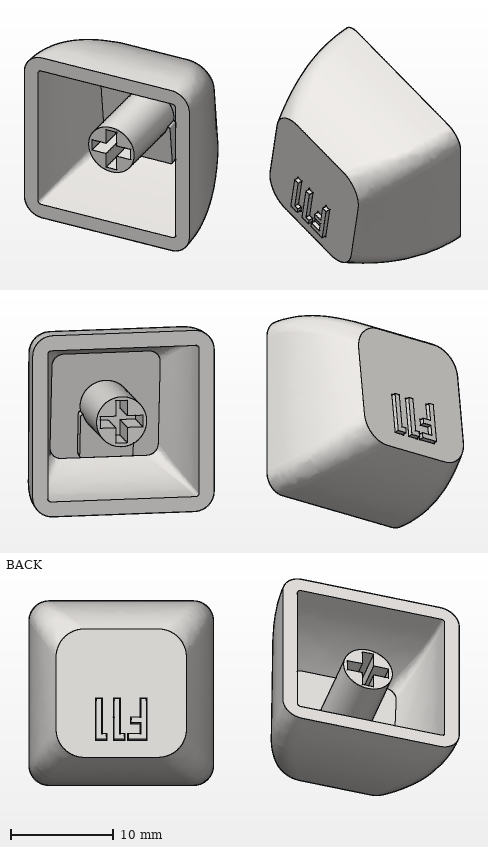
import cadquery as cq
import math


RIM_SIDE = 18.1
RIM_RADIUS = 2.0
ROOF_WIDTH = 12.76
ROOF_LENGTH = 12.67
ROOF_RADIUS = 2.75
ROOF_HEIGHT = 11.15
ROOF_TILT = 7.0
WALL = 1.5

CAVITY_SIDE = RIM_SIDE - 2 * WALL
CAVITY_RADIUS = 0.36
FLOOR_WIDTH = 10.79
FLOOR_LENGTH = 10.75
FLOOR_RADIUS = 1.14
FLOOR_HEIGHT = ROOF_HEIGHT - WALL / math.cos(math.radians(ROOF_TILT))

STEM_DIAMETER = 5.0
STEM_START = 1.0
CROSS_LENGTH = 4.24
CROSS_WIDTH = 1.15
CROSS_DEPTH = 3.98

LETTER_RISE = 0.4
LETTER_BASE = 0.56
LETTER_HEIGHT = 4.02
LETTER_SPAN = 4.92
STROKE = 0.55
F_TOP_ARM = 1.75
F_MIDDLE_ARM = 1.48
F_ARM_DROP = 1.63
ONE_WIDTH = 1.01
ONE_PITCH = 1.75
LETTER_GAP = 0.07
PLATE_MARGIN = 0.2
PLATE_THICKNESS = 1.25
PLATE_RADIUS = 0.18

RIM_PLANE = cq.Plane((0, 0, 0), xDir=(1, 0, 0), normal=(0, 1, 0))


def roof_plane(depth):
    """Plane parallel to the roof and `depth` below it; its local Y runs along the roof to -Z."""
    tilt = math.radians(ROOF_TILT)
    outward = cq.Vector(0, math.cos(tilt), math.sin(tilt))
    return cq.Plane(cq.Vector(0, ROOF_HEIGHT, 0) - outward * depth, xDir=(1, 0, 0), normal=outward)


def domed_block(rim_side, rim_radius, top_width, top_length, top_radius, top_height):
    """Solid from a square on the rim plane to a tilted top, its walls curving in like parabolas."""
    sections = []
    for fraction in (0, 0.5, 1):
        lean = fraction ** 2
        width = rim_side + (top_width - rim_side) * lean
        length = rim_side + (top_length - rim_side) * lean
        radius = rim_radius + (top_radius - rim_radius) * lean
        centre = cq.Vector(0, 0, top_height * fraction)
        place = cq.Location(centre, cq.Vector(1, 0, 0), ROOF_TILT * lean)
        sections.append(cq.Sketch().rect(width, length).vertices().fillet(radius).moved(place))
    return cq.Workplane(RIM_PLANE).placeSketch(*sections).loft()


def make_stem():
    """Round stem from its free end into the roof, with the cross socket in its end."""
    end = cq.Workplane(RIM_PLANE).workplane(offset=STEM_START)
    to_roof = ROOF_HEIGHT - WALL / 2 - STEM_START
    stem = end.circle(STEM_DIAMETER / 2).extrude(to_roof)
    for width, length in ((CROSS_LENGTH, CROSS_WIDTH), (CROSS_WIDTH, CROSS_LENGTH)):
        stem = stem.cut(end.rect(width, length).extrude(CROSS_DEPTH))
    return stem


def make_blank_cap():
    """Cap with cavity and stem, before the roof is opened for the characters."""
    shell = domed_block(RIM_SIDE, RIM_RADIUS, ROOF_WIDTH, ROOF_LENGTH, ROOF_RADIUS, ROOF_HEIGHT)
    cavity = domed_block(
        CAVITY_SIDE, CAVITY_RADIUS, FLOOR_WIDTH, FLOOR_LENGTH, FLOOR_RADIUS, FLOOR_HEIGHT
    )
    return shell.cut(cavity).union(make_stem())


def bar(left, foot, width, height, gap):
    """Stroke of a character, widened by a gap all round, from the cavity floor to the raised face."""
    return (
        cq.Workplane(roof_plane(WALL))
        .center(left + width / 2, foot + height / 2)
        .rect(width + 2 * gap, height + 2 * gap)
        .extrude(WALL + LETTER_RISE)
    )


def letter_f(left, gap):
    """Letter F whose upright starts at `left`."""
    top = LETTER_BASE + LETTER_HEIGHT
    upright = bar(left, LETTER_BASE, STROKE, LETTER_HEIGHT, gap)
    top_arm = bar(left, top - STROKE, F_TOP_ARM, STROKE, gap)
    middle_arm = bar(left, top - F_ARM_DROP - STROKE, F_MIDDLE_ARM, STROKE, gap)
    return upright.union(top_arm).union(middle_arm)


def figure_one(right, gap):
    """Figure 1 whose upright ends at `right`."""
    flag_foot = LETTER_BASE + LETTER_HEIGHT - STROKE
    upright = bar(right - STROKE, LETTER_BASE, STROKE, LETTER_HEIGHT, gap)
    flag = bar(right - ONE_WIDTH, flag_foot, ONE_WIDTH, STROKE, gap)
    return upright.union(flag)


def make_characters(gap=0.0):
    """The characters F11, or their openings in the roof when a gap is given."""
    right = LETTER_SPAN / 2
    characters = letter_f(-right, gap)
    for place_from_right in range(2):
        characters = characters.union(figure_one(right - place_from_right * ONE_PITCH, gap))
    return characters


def make_plate():
    """Plate on the cavity floor, clear of the stem."""
    plate = (
        cq.Workplane(roof_plane(WALL + PLATE_THICKNESS))
        .center(0, LETTER_BASE + LETTER_HEIGHT / 2)
        .sketch()
        .rect(LETTER_SPAN + 2 * PLATE_MARGIN, LETTER_HEIGHT + 2 * PLATE_MARGIN)
        .vertices()
        .fillet(PLATE_RADIUS)
        .finalize()
        .extrude(PLATE_THICKNESS)
    )
    stem_bore = cq.Workplane(RIM_PLANE).circle(STEM_DIAMETER / 2).extrude(ROOF_HEIGHT)
    return plate.cut(stem_bore)


housing = make_blank_cap().cut(make_characters(LETTER_GAP))
legend = make_plate().union(make_characters())

result = cq.Compound.makeCompound([housing.solids().val(), legend.solids().val()])